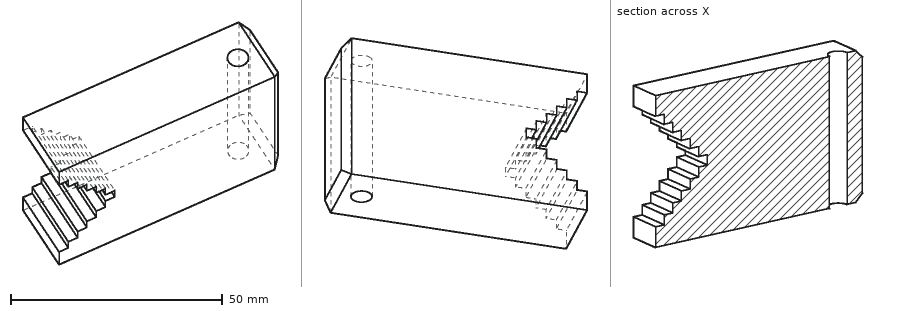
import cadquery as cq

width = 18.0
length = 60.0
height = 38.0
end_chamfer = 2.0

notch_depth = 15.0
step_count = 6
step = notch_depth / step_count

hole_diameter = 5.0
hole_end_distance = 7.0


def make_block():
    """Block with all four edges of its +Y end chamfered."""
    block = cq.Workplane("XY").box(width, length, height)
    return block.faces(">Y").edges().chamfer(end_chamfer)


def make_notch():
    """Stack of slots, each one step shallower and two steps taller than the last."""
    notch = cq.Workplane("XY")
    for level in range(step_count):
        slot_depth = notch_depth - level * step
        slot_height = (2 * level + 1) * step
        slot_center_y = (slot_depth - length) / 2
        slot = cq.Workplane("XY").box(width, slot_depth, slot_height)
        notch = notch.add(slot.translate((0, slot_center_y, 0)))
    return notch.combine()


def make_hole():
    """Cylinder passing through the full height."""
    hole_y = length / 2 - hole_end_distance
    hole = cq.Workplane("XY").circle(hole_diameter / 2).extrude(height / 2, both=True)
    return hole.translate((0, hole_y, 0))


result = make_block().cut(make_notch()).cut(make_hole())